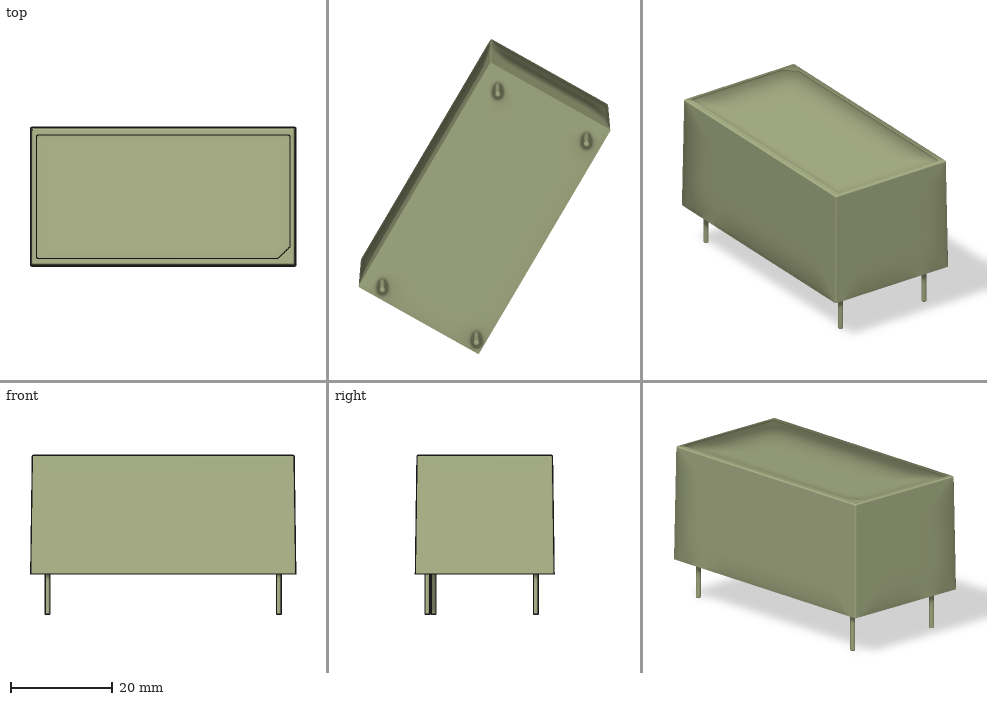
import cadquery as cq

case_length = 52.5
case_width = 27.5
case_height = 23.5
case_draft_angle = 0.8
case_edge_radius = 0.3

recess_length = 50.15
recess_width = 24.45
recess_depth = 0.2
recess_corner_radius = 0.4
recess_cut_x = 2.4
recess_cut_y = 2.3

pin_diameter = 1.0
pin_length = 8.0
pin_tip_chamfer = 0.1
pin_row_x = 22.9
pin_y = 10.15
outer_pin_y = 11.35
pin_places = [
    (-pin_row_x, -pin_y),
    (-pin_row_x, pin_y),
    (pin_row_x, -outer_pin_y),
    (pin_row_x, pin_y),
]


def make_label_recess():
    """Volume removed from the top face, cut at its +X, -Y corner."""
    half_length = recess_length / 2
    half_width = recess_width / 2
    outline = [
        (-half_length, -half_width),
        (half_length - recess_cut_x, -half_width),
        (half_length, -half_width + recess_cut_y),
        (half_length, half_width),
        (-half_length, half_width),
    ]
    recess = (
        cq.Workplane("XY", origin=(0, 0, case_height - recess_depth))
        .polyline(outline)
        .close()
        .extrude(recess_depth)
    )
    square_corners = recess.edges("|Z and (<X or >Y)")
    return square_corners.fillet(recess_corner_radius)


def make_case():
    """Drafted block, rounded on all but its bottom edges, with the label recess."""
    block = (
        cq.Workplane("XY")
        .rect(case_length, case_width)
        .extrude(case_height, taper=case_draft_angle)
        .edges("not(<Z)")
        .fillet(case_edge_radius)
    )
    return block.cut(make_label_recess())


def make_pin(x, y):
    """Round pin below the case, chamfered at its tip."""
    return (
        cq.Workplane("XY", origin=(x, y, 0))
        .circle(pin_diameter / 2)
        .extrude(-pin_length)
        .faces("<Z")
        .chamfer(pin_tip_chamfer)
    )


case = make_case()
pins = [make_pin(x, y) for x, y in pin_places]

result = cq.Compound.makeCompound([case.val(), *[pin.val() for pin in pins]])